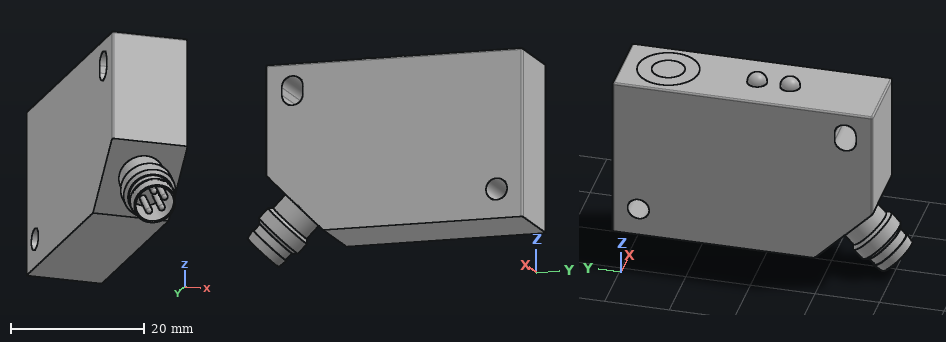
import cadquery as cq
import math

HOUSING_WIDTH = 12.0
HOUSING_LENGTH = 40.35
HOUSING_HEIGHT = 26.0
CORNER_CUT = 9.0
EDGE_ROUND = 0.25

HOLE_DIAMETER = 3.32
ROUND_HOLE_Y = 36.3
ROUND_HOLE_Z = 4.5
SLOT_Y = 4.2
SLOT_Z = 21.78
SLOT_HEIGHT = 4.5

SENSOR_Y = 33.2
RING_RADIUS = 4.7
DISC_RADIUS = 2.5
SENSOR_DEPTH = 1.0

DOME_RADIUS = 1.53
DOME_X = -0.25
DOME_Y_POSITIONS = (14.25, 19.35)

CONNECTOR_Y = 4.1
STEM_RADIUS = 3.45
COLLAR_RADIUS = 4.0
NECK_RADIUS = 3.3
LIP_RADIUS = 3.45
TIP_RADIUS = 3.2
BORE_RADIUS = 2.9
COLLAR_START = 2.95
COLLAR_END = 6.05
COLLAR_BEVEL = COLLAR_RADIUS - STEM_RADIUS
LIP_START = 7.45
CONNECTOR_LENGTH = 9.0
BORE_DEPTH = 5.0
BORE_FLOOR = CONNECTOR_LENGTH - BORE_DEPTH

PIN_RADIUS = 0.5
PIN_TIP_INSET = 0.4
PIN_PAIRS = ((-0.3, 1.65), (1.53, 0.9))


def make_housing():
    block = (
        cq.Workplane("XY")
        .box(HOUSING_WIDTH, HOUSING_LENGTH, HOUSING_HEIGHT, centered=(True, False, False))
        .edges("|Z or >Z")
        .fillet(EDGE_ROUND)
    )
    corner = (
        cq.Workplane("YZ")
        .polyline([(0, 0), (CORNER_CUT, 0), (0, CORNER_CUT)])
        .close()
        .extrude(HOUSING_WIDTH, both=True)
    )
    round_hole = (
        cq.Workplane("YZ")
        .center(ROUND_HOLE_Y, ROUND_HOLE_Z)
        .circle(HOLE_DIAMETER / 2)
        .extrude(HOUSING_WIDTH, both=True)
    )
    slot = (
        cq.Workplane("YZ")
        .center(SLOT_Y, SLOT_Z)
        .slot2D(SLOT_HEIGHT, HOLE_DIAMETER, 90)
        .extrude(HOUSING_WIDTH, both=True)
    )
    sensor_recess = sensor_workplane().circle(RING_RADIUS).extrude(SENSOR_DEPTH)
    return block.cut(corner).cut(round_hole).cut(slot).cut(sensor_recess)


def sensor_workplane():
    """Plane at the floor of the sensor recess, centred on the sensor."""
    return cq.Workplane("XY", origin=(0, SENSOR_Y, HOUSING_HEIGHT - SENSOR_DEPTH))


def make_sensor_ring():
    return sensor_workplane().circle(RING_RADIUS).circle(DISC_RADIUS).extrude(SENSOR_DEPTH)


def make_sensor_disc():
    return sensor_workplane().circle(DISC_RADIUS).extrude(SENSOR_DEPTH)


def make_dome(y):
    """Hemisphere that stands on the housing top."""
    return (
        cq.Workplane("XZ", origin=(DOME_X, y, HOUSING_HEIGHT))
        .lineTo(DOME_RADIUS, 0)
        .radiusArc((0, DOME_RADIUS), -DOME_RADIUS)
        .close()
        .revolve(360, (0, 0), (0, 1))
    )


def make_pin(x, y):
    """Round-ended pin that stands on the bore floor, in connector coordinates."""
    dome_height = BORE_DEPTH - PIN_TIP_INSET - PIN_RADIUS
    shaft = cq.Workplane("XY", origin=(x, y, BORE_FLOOR)).circle(PIN_RADIUS).extrude(dome_height)
    rounded_end = cq.Workplane("XY", origin=(x, y, BORE_FLOOR + dome_height)).sphere(PIN_RADIUS)
    return shaft.union(rounded_end)


def make_connector():
    """Plug with its contact pins, built along +Z and then moved onto the cut face."""
    profile = [
        (0, 0),
        (STEM_RADIUS, 0),
        (STEM_RADIUS, COLLAR_START),
        (COLLAR_RADIUS, COLLAR_START + COLLAR_BEVEL),
        (COLLAR_RADIUS, COLLAR_END - COLLAR_BEVEL),
        (STEM_RADIUS, COLLAR_END),
        (NECK_RADIUS, COLLAR_END),
        (NECK_RADIUS, LIP_START),
        (LIP_RADIUS, LIP_START),
        (TIP_RADIUS, CONNECTOR_LENGTH),
        (BORE_RADIUS, CONNECTOR_LENGTH),
        (BORE_RADIUS, BORE_FLOOR),
        (0, BORE_FLOOR),
    ]
    plug = cq.Workplane("XZ").polyline(profile).close().revolve(360, (0, 0), (0, 1))
    for pair_x, half_spacing in PIN_PAIRS:
        for side in (-1, 1):
            plug = plug.union(make_pin(pair_x, side * half_spacing))

    outward = cq.Vector(0, -math.sqrt(0.5), -math.sqrt(0.5))
    seat = cq.Plane(
        origin=(0, CONNECTOR_Y, CORNER_CUT - CONNECTOR_Y),
        xDir=(1, 0, 0),
        normal=outward,
    )
    return plug.solids().val().moved(cq.Location(seat))


housing = make_housing()
sensor_ring = make_sensor_ring()
sensor_disc = make_sensor_disc()
domes = [make_dome(y) for y in DOME_Y_POSITIONS]
connector = make_connector()

result = cq.Compound.makeCompound(
    [
        housing.solids().val(),
        sensor_ring.val(),
        sensor_disc.val(),
        *[dome.val() for dome in domes],
        connector,
    ]
)